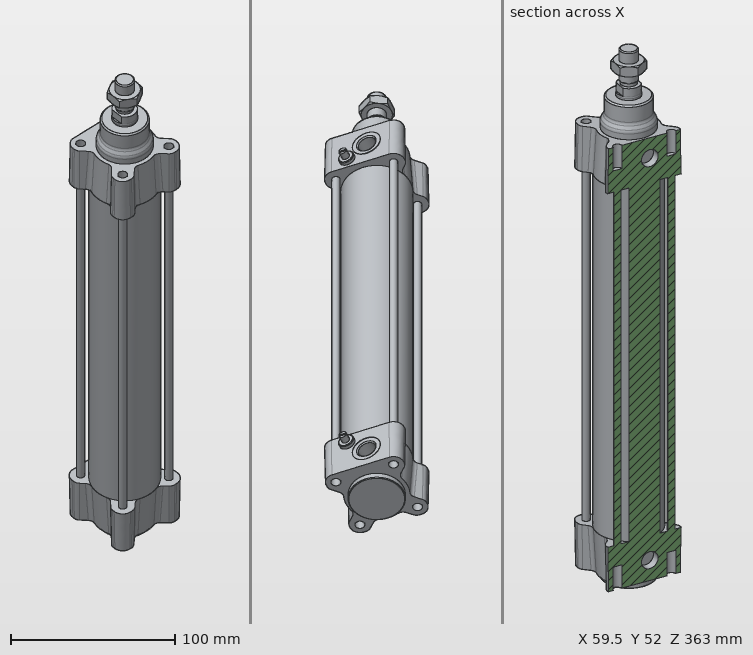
import cadquery as cq
import math

REAR_SPIGOT_LENGTH = 4.0
CAP_TO_CAP_LENGTH = 305.0
CAP_HEIGHT = 31.0
ROD_PROJECTION = 30.0
THREAD_LENGTH = 24.0
REAR_FACE_Z = REAR_SPIGOT_LENGTH
FRONT_FACE_Z = REAR_FACE_Z + CAP_TO_CAP_LENGTH
ROD_SHOULDER_Z = FRONT_FACE_Z + ROD_PROJECTION
ROD_END_Z = ROD_SHOULDER_Z + THREAD_LENGTH

CAP_WIDTH = 52.0
HALF_WIDTH = CAP_WIDTH / 2
TIE_ROD_OFFSET = 19.0
LOBE_FLAT_END = 17.6
LOBE_INNER_RADIUS = 5.0
LOBE_FLANK_ANGLE = 44.0
GROOVE_RADIUS = 4.5
INNER_GROOVE_OFFSET = 20.75
OUTER_GROOVE_OFFSET = 19.1
BULGE_HALF_WIDTH = 6.6
DRAFT_ANGLE = 1.0
MOUNTING_HOLE_DIAMETER = 6.0
MOUNTING_HOLE_DEPTH = 16.0

TUBE_DIAMETER = 44.0
TIE_ROD_DIAMETER = 5.2

SPIGOT_DIAMETER = 35.0
SPIGOT_CHAMFER = 0.5
COLLAR_DIAMETER = 30.0
COLLAR_LENGTH = 22.0
COLLAR_CHAMFER = 1.0
COLLAR_BASE_LENGTH = 4.0
COLLAR_FLARE_ANGLE = 30.0
COLLAR_FLARE_RADIUS = 4.4

PORT_DIAMETER = 11.4
PORT_CHAMFER = 0.8
PORT_DEPTH = 12.0
PORT_SEAT_DIAMETER = 18.5
PORT_SEAT_DEPTH = 0.5
PORT_Y = -3.8
PORT_FROM_FACE = 14.2

SCREW_Y = 8.6
SCREW_FROM_FACE = 24.0
SCREW_HUB_DIAMETER = 10.0
SCREW_HUB_END_X = -28.5
SCREW_HUB_CHAMFER = 0.5
SCREW_PIN_DIAMETER = 5.0
SCREW_PIN_END_X = -33.5
SCREW_SLOT_WIDTH = 1.0
SCREW_SLOT_DEPTH = 1.0

ROD_DIAMETER = 16.0
WRENCH_SECTION_DIAMETER = 15.5
WRENCH_SECTION_LENGTH = 5.7
WRENCH_FLATS_WIDTH = 13.0
ROD_SHOULDER_CHAMFER_LENGTH = 1.0
THREAD_DIAMETER = 12.0
THREAD_CHAMFER = 0.75
NECK_DIAMETER = 10.5
NECK_LENGTH = 2.5
ROD_BOTTOM_Z = FRONT_FACE_Z - CAP_HEIGHT

NUT_WIDTH = 19.0
NUT_HEIGHT = 7.0
NUT_BOTTOM_Z = 348.0
NUT_CHAMFER_ANGLE = 30.0


def cylinder(diameter, bottom_z, top_z):
    """Cylinder on the Z axis between two heights."""
    return cq.Workplane("XY").workplane(offset=bottom_z).circle(diameter / 2).extrude(top_z - bottom_z)


def x_cylinder(diameter, y, z, start_x, end_x):
    """Cylinder parallel to X between two X positions."""
    plane = cq.Plane(origin=(start_x, y, z), xDir=(0, 1, 0), normal=(1, 0, 0))
    return cq.Workplane(plane).circle(diameter / 2).extrude(end_x - start_x)


def tie_rod_points():
    """Centres of the four corners."""
    return [(sx * TIE_ROD_OFFSET, sy * TIE_ROD_OFFSET) for sx in (-1, 1) for sy in (-1, 1)]


def lobe_flank(half_width, groove_offset):
    """Points from the end of a lobe's flat, down its flank and round the groove to the bulge.

    Each point is (distance from the middle of the side, distance out from the cap axis).
    """
    angle = math.radians(LOBE_FLANK_ANGLE)
    sin_half, cos_half = math.sin(angle / 2), math.cos(angle / 2)
    sin_full, cos_full = math.sin(angle), math.cos(angle)
    lobe_centre = HALF_WIDTH - LOBE_INNER_RADIUS
    lobe_radius = half_width - lobe_centre
    flat_end = (LOBE_FLAT_END, half_width)
    lobe_middle = (LOBE_FLAT_END - lobe_radius * sin_half, lobe_centre + lobe_radius * cos_half)
    flank_top = (LOBE_FLAT_END - lobe_radius * sin_full, lobe_centre + lobe_radius * cos_full)
    groove_centre = groove_offset + GROOVE_RADIUS
    flank_bottom_height = groove_centre - GROOVE_RADIUS * cos_full
    flank_run = (flank_top[1] - flank_bottom_height) / math.tan(angle)
    flank_bottom = (flank_top[0] - flank_run, flank_bottom_height)
    groove_bottom = (flank_bottom[0] - GROOVE_RADIUS * sin_full, groove_offset)
    foot_run = groove_bottom[0] - BULGE_HALF_WIDTH
    bulge_foot = (BULGE_HALF_WIDTH, groove_centre - math.sqrt(GROOVE_RADIUS**2 - foot_run**2))
    return flat_end, lobe_middle, flank_top, flank_bottom, groove_bottom, bulge_foot


def add_hollow_side(outline, flank, place):
    """Draw one hollow side from lobe to lobe, where place() turns (along, out) into (x, y)."""
    flat_end, lobe_middle, flank_top, flank_bottom, groove_bottom, bulge_foot = flank
    bulge_top = (0, math.hypot(*bulge_foot))

    def mirrored(point):
        return place(-point[0], point[1])

    return (
        outline.lineTo(*mirrored(flat_end))
        .threePointArc(mirrored(lobe_middle), mirrored(flank_top))
        .lineTo(*mirrored(flank_bottom))
        .threePointArc(mirrored(groove_bottom), mirrored(bulge_foot))
        .threePointArc(place(*bulge_top), place(*bulge_foot))
        .threePointArc(place(*groove_bottom), place(*flank_bottom))
        .lineTo(*place(*flank_top))
        .threePointArc(place(*lobe_middle), place(*flat_end))
    )


def cap_section(z, half_width, groove_offset):
    """Cap section: flat -X side, round corner lobes and three hollow sides with a bulge in each."""
    c = TIE_ROD_OFFSET
    w = half_width
    far = c + (w - c) * math.sqrt(0.5)
    flank = lobe_flank(half_width, groove_offset)
    outline = cq.Workplane("XY").workplane(offset=z)
    outline = outline.moveTo(-w, c).lineTo(-w, -c).threePointArc((-far, -far), (-c, -w))
    outline = add_hollow_side(outline, flank, lambda along, out: (along, -out))
    outline = outline.lineTo(c, -w).threePointArc((far, -far), (w, -c))
    outline = add_hollow_side(outline, flank, lambda along, out: (out, along))
    outline = outline.lineTo(w, c).threePointArc((far, far), (c, w))
    outline = add_hollow_side(outline, flank, lambda along, out: (-along, out))
    return outline.lineTo(-c, w).threePointArc((-far, far), (-w, c)).close().val()


def make_cap():
    """Front cap with its inner face at Z = 0 and its outer face up, narrowing towards the outer face."""
    outer_half_width = HALF_WIDTH - CAP_HEIGHT * math.tan(math.radians(DRAFT_ANGLE))
    inner_section = cap_section(0, HALF_WIDTH, INNER_GROOVE_OFFSET)
    outer_section = cap_section(CAP_HEIGHT, outer_half_width, OUTER_GROOVE_OFFSET)
    cap = cq.Workplane(cq.Solid.makeLoft([inner_section, outer_section], True))
    holes = (
        cq.Workplane("XY")
        .workplane(offset=CAP_HEIGHT - MOUNTING_HOLE_DEPTH)
        .pushPoints(tie_rod_points())
        .circle(MOUNTING_HOLE_DIAMETER / 2)
        .extrude(MOUNTING_HOLE_DEPTH)
    )
    port_z = CAP_HEIGHT - PORT_FROM_FACE
    seat_x = -HALF_WIDTH + PORT_SEAT_DEPTH
    seat = x_cylinder(PORT_SEAT_DIAMETER, PORT_Y, port_z, -HALF_WIDTH, seat_x)
    port = x_cylinder(PORT_DIAMETER, PORT_Y, port_z, seat_x, seat_x + PORT_DEPTH)
    port_radius = PORT_DIAMETER / 2
    mouth = cq.Solid.makeCone(
        port_radius + PORT_CHAMFER,
        port_radius,
        PORT_CHAMFER,
        cq.Vector(seat_x, PORT_Y, port_z),
        cq.Vector(1, 0, 0),
    )
    screw_z = CAP_HEIGHT - SCREW_FROM_FACE
    inside_x = -TIE_ROD_OFFSET
    hub = x_cylinder(SCREW_HUB_DIAMETER, SCREW_Y, screw_z, SCREW_HUB_END_X, inside_x)
    hub = hub.faces("<X").chamfer(SCREW_HUB_CHAMFER)
    pin = x_cylinder(SCREW_PIN_DIAMETER, SCREW_Y, screw_z, SCREW_PIN_END_X, SCREW_HUB_END_X)
    slot = cq.Workplane("XY").box(2 * SCREW_SLOT_DEPTH, SCREW_PIN_DIAMETER, SCREW_SLOT_WIDTH)
    pin = pin.cut(slot.translate((SCREW_PIN_END_X, SCREW_Y, screw_z)))
    return cap.cut(holes).cut(seat).cut(port).cut(mouth).union(hub).union(pin)


def make_collar():
    """Bearing collar on the front cap, flaring to the spigot through a cone with rounded ends."""
    top_z = FRONT_FACE_Z + COLLAR_LENGTH
    collar_radius = COLLAR_DIAMETER / 2
    spigot_radius = SPIGOT_DIAMETER / 2
    angle = math.radians(COLLAR_FLARE_ANGLE)
    arc_height = COLLAR_FLARE_RADIUS * math.sin(angle)
    arc_width = COLLAR_FLARE_RADIUS * (1 - math.cos(angle))
    middle_height = COLLAR_FLARE_RADIUS * math.sin(angle / 2)
    middle_width = COLLAR_FLARE_RADIUS * (1 - math.cos(angle / 2))
    cone_height = (spigot_radius - collar_radius - 2 * arc_width) / math.tan(angle)
    flare_start_z = FRONT_FACE_Z + COLLAR_BASE_LENGTH
    cone_start_z = flare_start_z + arc_height
    cone_end_z = cone_start_z + cone_height
    flare_end_z = cone_end_z + arc_height
    return (
        cq.Workplane("XZ")
        .moveTo(0, FRONT_FACE_Z)
        .lineTo(spigot_radius, FRONT_FACE_Z)
        .lineTo(spigot_radius, flare_start_z)
        .threePointArc(
            (spigot_radius - middle_width, flare_start_z + middle_height),
            (spigot_radius - arc_width, cone_start_z),
        )
        .lineTo(collar_radius + arc_width, cone_end_z)
        .threePointArc(
            (collar_radius + middle_width, flare_end_z - middle_height),
            (collar_radius, flare_end_z),
        )
        .lineTo(collar_radius, top_z - COLLAR_CHAMFER)
        .lineTo(collar_radius - COLLAR_CHAMFER, top_z)
        .lineTo(0, top_z)
        .close()
        .revolve(360, (0, 0, 0), (0, 1, 0))
    )


def make_housing(rod):
    """Tube, tie rods and both caps, with a hole that fits the rod."""
    front_inner_z = FRONT_FACE_Z - CAP_HEIGHT
    rear_inner_z = REAR_FACE_Z + CAP_HEIGHT
    cap = make_cap()
    front_cap = cap.translate((0, 0, front_inner_z))
    rear_cap = cap.mirror("XY").translate((0, 0, rear_inner_z))
    tube = cylinder(TUBE_DIAMETER, rear_inner_z, front_inner_z)
    tie_rods = (
        cq.Workplane("XY")
        .workplane(offset=rear_inner_z)
        .pushPoints(tie_rod_points())
        .circle(TIE_ROD_DIAMETER / 2)
        .extrude(front_inner_z - rear_inner_z)
    )
    spigot = cylinder(SPIGOT_DIAMETER, 0, REAR_FACE_Z).faces("<Z").chamfer(SPIGOT_CHAMFER)
    housing = tube.union(tie_rods).union(front_cap).union(rear_cap).union(spigot).union(make_collar())
    return housing.cut(rod)


def make_rod():
    """Piston rod with wrench flats, thread neck and threaded end."""
    neck_top_z = ROD_SHOULDER_Z + NECK_LENGTH
    wrench_z = ROD_SHOULDER_Z - WRENCH_SECTION_LENGTH
    flats = (
        cq.Workplane("XY")
        .workplane(offset=wrench_z)
        .rect(ROD_DIAMETER, WRENCH_FLATS_WIDTH)
        .extrude(WRENCH_SECTION_LENGTH)
    )
    wrench_section = cylinder(WRENCH_SECTION_DIAMETER, wrench_z, ROD_SHOULDER_Z).intersect(flats)
    chamfer_width = (ROD_DIAMETER - WRENCH_SECTION_DIAMETER) / 2
    shaft = cylinder(ROD_DIAMETER, ROD_BOTTOM_Z, wrench_z)
    shaft = shaft.faces(">Z").chamfer(ROD_SHOULDER_CHAMFER_LENGTH, chamfer_width)
    neck = cylinder(NECK_DIAMETER, ROD_SHOULDER_Z, neck_top_z)
    thread = cylinder(THREAD_DIAMETER, neck_top_z, ROD_END_Z).faces(">Z").chamfer(THREAD_CHAMFER)
    return shaft.union(wrench_section).union(neck).union(thread)


def make_nut():
    """Hexagon nut with corners on the X axis, chamfered at both ends."""
    corner_diameter = NUT_WIDTH / math.cos(math.pi / 6)
    chamfer_width = (corner_diameter - NUT_WIDTH) / 2
    chamfer_height = chamfer_width * math.tan(math.radians(NUT_CHAMFER_ANGLE))
    top_z = NUT_BOTTOM_Z + NUT_HEIGHT
    hexagon = (
        cq.Workplane("XY")
        .workplane(offset=NUT_BOTTOM_Z)
        .polygon(6, corner_diameter)
        .extrude(NUT_HEIGHT)
    )
    envelope = cylinder(corner_diameter, NUT_BOTTOM_Z, top_z)
    envelope = envelope.faces("<Z").chamfer(chamfer_height, chamfer_width)
    envelope = envelope.faces(">Z").chamfer(chamfer_height, chamfer_width)
    return hexagon.intersect(envelope).cut(cylinder(THREAD_DIAMETER, NUT_BOTTOM_Z, top_z))


rod = make_rod()
housing = make_housing(rod)
nut = make_nut()

result = cq.Compound.makeCompound([body.solids().val() for body in (housing, rod, nut)])